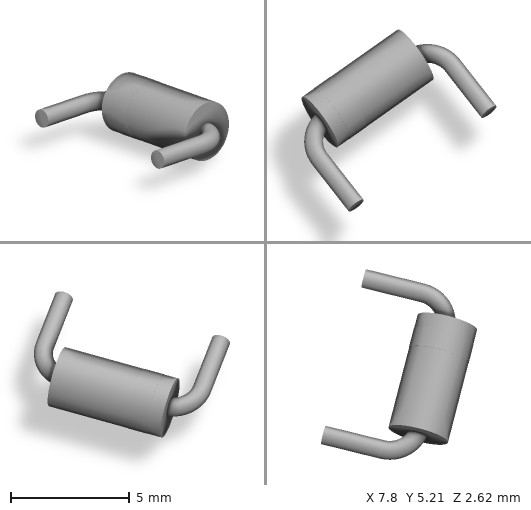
import cadquery as cq

body_length = 5.03
body_diameter = 2.6

band_diameter = 2.62
band_width = 0.87
band_offset = 0.62

lead_diameter = 0.8
lead_pitch = 7.0
lead_reach = 3.9
bend_radius = 1.325

body_end = body_length / 2
lead_x = lead_pitch / 2
bend_start_x = lead_x - bend_radius


def cylinder_along_x(diameter, start_x, length):
    return cq.Workplane("YZ", origin=(start_x, 0, 0)).circle(diameter / 2).extrude(length)


def make_body():
    shell = cylinder_along_x(body_diameter, -body_end, body_length)
    band = cylinder_along_x(band_diameter, -body_end + band_offset, band_width)
    return shell.union(band)


def make_right_lead():
    """Round wire swept round the bend and down the straight leg; it starts inside the body."""
    path = (
        cq.Workplane("XY")
        .moveTo(bend_start_x, 0)
        .radiusArc((lead_x, -bend_radius), bend_radius)
        .lineTo(lead_x, -lead_reach)
    )
    wire_section = cq.Workplane("YZ", origin=(bend_start_x, 0, 0)).circle(lead_diameter / 2)
    return wire_section.sweep(path)


right_lead = make_right_lead()
left_lead = right_lead.mirror("YZ")
result = make_body().union(right_lead).union(left_lead)